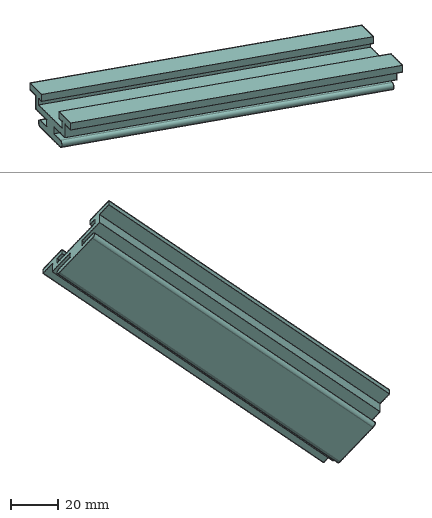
import cadquery as cq

length = 152.4
overall_width = 44.5
overall_height = 15.8
wall = 3.2
flange_width = 12.8
channel_width = 31.9
stem_width = 8.0
foot_width = 25.5
foot_thickness = 3.2
stem_height = 3.2

stem_top = foot_thickness + stem_height
floor_top = stem_top + wall
flange_bottom = overall_height - wall


def bar(width, bottom, top, center_x=0.0):
    """Full-length rectangular bar between two levels."""
    height = top - bottom
    return cq.Workplane("XY").box(width, length, height).translate((center_x, 0, bottom + height / 2))


foot = (
    cq.Workplane("XZ")
    .center(0, foot_thickness / 2)
    .slot2D(foot_width, foot_thickness)
    .extrude(length / 2, both=True)
)

result = foot.union(bar(stem_width, foot_thickness / 2, stem_top))
result = result.union(bar(channel_width, stem_top, floor_top))
for side in (-1, 1):
    wall_x = side * (channel_width - wall) / 2
    flange_x = side * (overall_width - flange_width) / 2
    result = result.union(bar(wall, stem_top, overall_height, wall_x))
    result = result.union(bar(flange_width, flange_bottom, overall_height, flange_x))